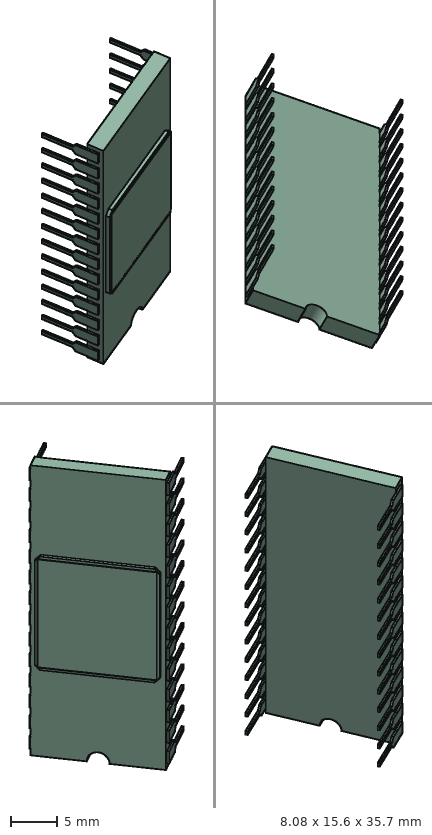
import cadquery as cq

overall_width = 15.62
body_thickness = 2.03
body_height = 35.69
notch_radius = 1.27

lead_count = 14
lead_pitch = 2.54
lead_thickness = 0.254
lead_reach = 5.49
lead_length = 6.98
narrow_length = 3.81
taper_length = 0.4
blade_width = 1.5
tip_width = 0.5
front_row_offset = -0.08
back_row_offset = -0.04

overall_depth = 8.08
lid_frame_size = 13.96
lid_frame_thickness = 0.45
lid_corner_chamfer = 0.6
lid_plate_size = 13.3

body_width = overall_width - 2 * lead_thickness
lid_plate_thickness = overall_depth - lead_reach - body_thickness - lid_frame_thickness


def block(x_start, thickness, width, height):
    """Block with its -X face at x_start, centred on Y and Z."""
    return cq.Workplane("YZ", origin=(x_start, 0, 0)).rect(width, height).extrude(thickness)


def make_body():
    """Plain slab with a half-round notch through the middle of its lower end."""
    notch = (
        cq.Workplane("YZ")
        .center(0, -body_height / 2)
        .circle(notch_radius)
        .extrude(body_thickness)
    )
    return block(0, body_thickness, body_width, body_height).cut(notch)


def make_lid():
    """Frame with chamfered corners carrying a slightly smaller thin plate."""
    frame = block(body_thickness, lid_frame_thickness, lid_frame_size, lid_frame_size)
    frame = frame.edges("|X").chamfer(lid_corner_chamfer)
    plate_start = body_thickness + lid_frame_thickness
    plate = block(plate_start, lid_plate_thickness, lid_plate_size, lid_plate_size)
    return frame.union(plate)


def make_lead(y_start, z_center):
    """Wide blade on the body side that tapers to a narrow tip toward -X."""
    x_tip = -lead_reach
    x_narrow_end = x_tip + narrow_length
    x_blade_start = x_narrow_end + taper_length
    x_end = x_tip + lead_length
    upper_edge = [
        (x_tip, tip_width / 2),
        (x_narrow_end, tip_width / 2),
        (x_blade_start, blade_width / 2),
        (x_end, blade_width / 2),
    ]
    lower_edge = [(x, -z) for x, z in reversed(upper_edge)]
    return (
        cq.Workplane("XZ", origin=(0, y_start, z_center))
        .polyline(upper_edge + lower_edge)
        .close()
        .extrude(-lead_thickness)
    )


result = make_body().union(make_lid())
lead_rows = [
    (-overall_width / 2, front_row_offset),
    (body_width / 2, back_row_offset),
]
for y_start, row_offset in lead_rows:
    for index in range(lead_count):
        z_center = row_offset + (index - (lead_count - 1) / 2) * lead_pitch
        result = result.union(make_lead(y_start, z_center))